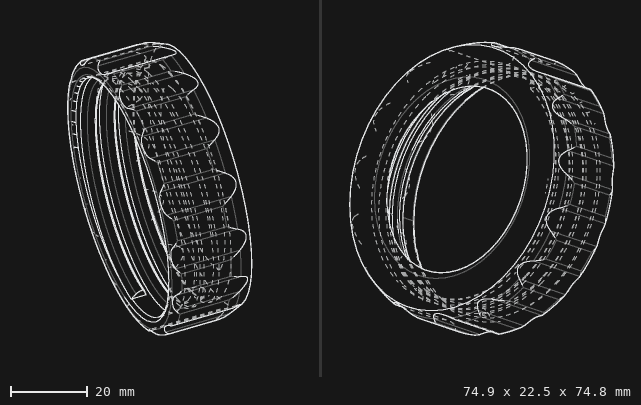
import cadquery as cq
import math


height = 22.5
outer_radius = 75.0 / 2
mouth_edge_radius = 2.0
taper_angle = 21.0
taper_length = 3.6
taper_blend_radius = 8.4

socket_radius = 65.0 / 2
flange_bore_radius = 50.0 / 2
flange_edge_radius = 1.95
flange_thickness = 2 * flange_edge_radius
floor_fillet = 2.0
mouth_fillet = 1.0

groove_count = 15
first_groove_angle = 16.0
groove_floor_radius = 36.0
groove_radius = 6.75
groove_edge_radius = 3.0

pitch = 5.3
thread_turns = 2.4
thread_end_angle = 280.0
thread_end_height = 18.3
crest_radius = 30.7
crest_front_rounding = 3.15
crest_back_rounding = 0.45
front_slope = 38.0
back_slope = 75.0
thread_embed = 0.2


def make_body():
    """Revolved ring with its outer taper, flanged bore and rounded edges."""
    slope = math.radians(taper_angle)
    blend_center_r = outer_radius - taper_blend_radius
    blend_start_r = blend_center_r + taper_blend_radius * math.cos(slope)
    blend_middle_r = blend_center_r + taper_blend_radius * math.cos(slope / 2)
    blend_end_z = taper_length + taper_blend_radius * math.sin(slope)
    blend_middle_z = blend_end_z - taper_blend_radius * math.sin(slope / 2)
    end_face_radius = blend_start_r - taper_length * math.tan(slope)

    def corner(radius):
        """Distance from a square corner's tangent lines to the middle of its rounding."""
        return radius * (1 - math.sqrt(0.5))

    edge = corner(mouth_edge_radius)
    mouth = corner(mouth_fillet)
    floor = corner(floor_fillet)
    lip = corner(flange_edge_radius)

    profile = (
        cq.Workplane("XZ")
        .moveTo(flange_bore_radius + flange_edge_radius, 0)
        .lineTo(end_face_radius, 0)
        .lineTo(blend_start_r, taper_length)
        .threePointArc((blend_middle_r, blend_middle_z), (outer_radius, blend_end_z))
        .lineTo(outer_radius, height - mouth_edge_radius)
        .threePointArc((outer_radius - edge, height - edge), (outer_radius - mouth_edge_radius, height))
        .lineTo(socket_radius + mouth_fillet, height)
        .threePointArc((socket_radius + mouth, height - mouth), (socket_radius, height - mouth_fillet))
        .lineTo(socket_radius, flange_thickness + floor_fillet)
        .threePointArc(
            (socket_radius - floor, flange_thickness + floor),
            (socket_radius - floor_fillet, flange_thickness),
        )
        .lineTo(flange_bore_radius + flange_edge_radius, flange_thickness)
        .threePointArc(
            (flange_bore_radius + lip, flange_thickness - lip),
            (flange_bore_radius, flange_edge_radius),
        )
        .threePointArc(
            (flange_bore_radius + lip, lip),
            (flange_bore_radius + flange_edge_radius, 0),
        )
        .close()
    )
    return profile.revolve(360, (0, 0, 0), (0, 1, 0))


def make_groove():
    """Cutter for one groove at angle 0; its edges run smoothly into the outer cylinder."""
    groove_center = groove_floor_radius + groove_radius
    edge_center = outer_radius - groove_edge_radius
    centers_apart = groove_radius + groove_edge_radius

    edge_angle = math.acos(
        (groove_center**2 + edge_center**2 - centers_apart**2) / (2 * groove_center * edge_center)
    )
    edge_x = edge_center * math.cos(edge_angle)
    edge_y = edge_center * math.sin(edge_angle)
    rim_x = outer_radius * math.cos(edge_angle)
    rim_y = outer_radius * math.sin(edge_angle)
    inner_share = groove_radius / centers_apart
    joint_x = groove_center + (edge_x - groove_center) * inner_share
    joint_y = edge_y * inner_share

    joint_direction = math.atan2(joint_y - edge_y, joint_x - edge_x)
    middle_direction = (joint_direction + edge_angle) / 2
    middle_x = edge_x + groove_edge_radius * math.cos(middle_direction)
    middle_y = edge_y + groove_edge_radius * math.sin(middle_direction)

    return (
        cq.Workplane("XY")
        .moveTo(rim_x, rim_y)
        .threePointArc((middle_x, middle_y), (joint_x, joint_y))
        .threePointArc((groove_floor_radius, 0), (joint_x, -joint_y))
        .threePointArc((middle_x, -middle_y), (rim_x, -rim_y))
        .lineTo(groove_center, -rim_y)
        .lineTo(groove_center, rim_y)
        .close()
        .extrude(height)
    )


def make_thread():
    """Right-handed buttress ridge: steep flank to the flange, rounded slope to the mouth."""
    root_radius = socket_radius + thread_embed

    def crest_point(rounding, angle):
        """Radius and axial distance from the crest, after turning by an angle along its rounding."""
        turn = math.radians(angle)
        return crest_radius + rounding * (1 - math.cos(turn)), rounding * math.sin(turn)

    def root_distance(start, slope):
        """Axial distance from the crest at which a flank of the given slope reaches the root."""
        radius, distance = start
        return distance + (root_radius - radius) / math.tan(math.radians(slope))

    front_middle = crest_point(crest_front_rounding, front_slope / 2)
    front_start = crest_point(crest_front_rounding, front_slope)
    back_middle = crest_point(crest_back_rounding, back_slope / 2)
    back_start = crest_point(crest_back_rounding, back_slope)

    path = cq.Workplane(cq.Wire.makeHelix(pitch, pitch * thread_turns, crest_radius))
    ridge = (
        cq.Workplane("XZ")
        .moveTo(crest_radius, 0)
        .threePointArc(front_middle, front_start)
        .lineTo(root_radius, root_distance(front_start, front_slope))
        .lineTo(root_radius, -root_distance(back_start, back_slope))
        .lineTo(back_start[0], -back_start[1])
        .threePointArc((back_middle[0], -back_middle[1]), (crest_radius, 0))
        .close()
        .sweep(path, isFrenet=True)
    )
    start_angle = thread_end_angle - 360 * thread_turns
    start_height = thread_end_height - pitch * thread_turns
    return ridge.rotate((0, 0, 0), (0, 0, 1), start_angle).translate((0, 0, start_height))


ring = make_body()
groove = make_groove()
for index in range(groove_count):
    angle = first_groove_angle + index * 360 / groove_count
    ring = ring.cut(groove.rotate((0, 0, 0), (0, 0, 1), angle))
ring = ring.union(make_thread())

result = ring.translate((0, 0, -height / 2)).rotate((0, 0, 0), (1, 0, 0), 90).solids()